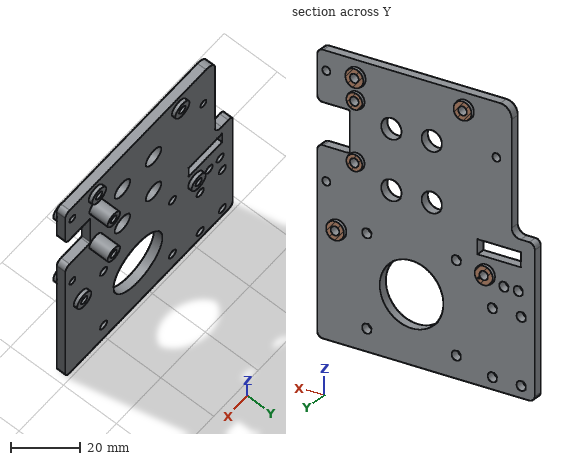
import cadquery as cq

plate_width = 75.4
plate_height = 94.0
plate_thickness = 3.3

step_x = 8.0
step_z = 51.6

notch_depth = 11.3
notch_height = 14.0
notch_center_z = 69.9

corner_radius = 2.0
top_left_radius = 4.0
step_inner_radius = 3.0
notch_inner_radius = 0.5

boss_diameter = 6.4
boss_height = 1.3
pillar_diameter = 5.6
pillar_length = 6.9

motor_x = 42.7
motor_z = 23.0
motor_bore_diameter = 22.0
motor_screw_pitch = 31.0
motor_screw_diameter = 3.2

access_x = 42.7
access_z = 65.0
access_pitch_x = 14.0
access_pitch_z = 20.0
access_diameter = 7.0

bracket_x = 9.7
bracket_z = 15.2
bracket_pitch_x = 10.0
bracket_pitch_z = 22.5
bracket_hole_diameter = 3.2

pair_center_x = 8.2
pair_pitch = 5.0
pair_z = 34.6
pair_hole_diameter = 3.2

slot_x = 12.3
slot_z = 45.0
slot_width = 15.0
slot_height = 4.9

front_boss_x = plate_width - boss_diameter / 2
front_boss_points = [(13.3, 75.95), (front_boss_x, 87.5), (front_boss_x, 51.5)]
front_boss_hole_diameter = 2.7

right_column_x = 61.8
upper_boss_z = 88.5
lower_boss_z = 36.9
back_boss_points = [
    (24.25, upper_boss_z),
    (right_column_x, upper_boss_z),
    (16.9, lower_boss_z),
    (68.4, lower_boss_z),
]
pillar_center_z = 71.0
pillar_pitch = 20.0
pillar_points = [
    (right_column_x, pillar_center_z + pillar_pitch / 2),
    (right_column_x, pillar_center_z - pillar_pitch / 2),
]
back_hole_diameter = 2.8


def rectangle_points(center_x, center_z, pitch_x, pitch_z):
    """Corners of a rectangle of holes."""
    return [
        (center_x + side_x * pitch_x / 2, center_z + side_z * pitch_z / 2)
        for side_x in (-1, 1)
        for side_z in (-1, 1)
    ]


def front_plane(y):
    """XZ workplane at depth y; positive extrusion goes toward -Y."""
    return cq.Workplane("XZ", origin=(0, y, 0))


def cylinders(points, diameter, y_front, y_back):
    """Round bars along Y between two depths."""
    return front_plane(y_back).pushPoints(points).circle(diameter / 2).extrude(y_back - y_front)


def round_edges(body, points, radius):
    """Fillet the edges along Y that pass through the given outline points."""
    for x, z in points:
        edge = cq.selectors.NearestToPointSelector((x, plate_thickness / 2, z))
        body = body.edges("|Y").edges(edge).fillet(radius)
    return body


def make_plate():
    notch_x = plate_width - notch_depth
    notch_bottom = notch_center_z - notch_height / 2
    notch_top = notch_center_z + notch_height / 2
    top_left = (step_x, plate_height)
    step_inner = (step_x, step_z)
    notch_inner = [(notch_x, notch_bottom), (notch_x, notch_top)]
    right_side = [
        (plate_width, 0),
        (plate_width, notch_bottom),
        *notch_inner,
        (plate_width, notch_top),
        (plate_width, plate_height),
    ]
    outline = [(0, 0), *right_side, top_left, step_inner, (0, step_z)]
    special = [top_left, step_inner, *notch_inner]
    plain_corners = [point for point in outline if point not in special]

    plate = front_plane(plate_thickness).polyline(outline).close().extrude(plate_thickness)
    plate = round_edges(plate, plain_corners, corner_radius)
    plate = round_edges(plate, [top_left], top_left_radius)
    plate = round_edges(plate, [step_inner], step_inner_radius)
    return round_edges(plate, notch_inner, notch_inner_radius)


def add_bosses_and_pillars(body):
    boss_back = plate_thickness + boss_height
    pillar_back = plate_thickness + pillar_length
    body = body.union(cylinders(front_boss_points, boss_diameter, -boss_height, plate_thickness / 2))
    body = body.union(cylinders(back_boss_points, boss_diameter, plate_thickness / 2, boss_back))
    return body.union(cylinders(pillar_points, pillar_diameter, plate_thickness / 2, pillar_back))


def cut_holes(body):
    y_front = -boss_height
    y_back = plate_thickness + pillar_length
    motor_screws = rectangle_points(motor_x, motor_z, motor_screw_pitch, motor_screw_pitch)
    access_holes = rectangle_points(access_x, access_z, access_pitch_x, access_pitch_z)
    bracket_holes = rectangle_points(bracket_x, bracket_z, bracket_pitch_x, bracket_pitch_z)
    pair_holes = [(pair_center_x + side * pair_pitch / 2, pair_z) for side in (-1, 1)]
    hole_groups = [
        ([(motor_x, motor_z)], motor_bore_diameter),
        (motor_screws, motor_screw_diameter),
        (access_holes, access_diameter),
        (bracket_holes, bracket_hole_diameter),
        (pair_holes, pair_hole_diameter),
        (front_boss_points, front_boss_hole_diameter),
        (back_boss_points + pillar_points, back_hole_diameter),
    ]
    for points, diameter in hole_groups:
        body = body.cut(cylinders(points, diameter, y_front, y_back))
    return body


def cut_slot(body):
    slot = front_plane(plate_thickness).center(slot_x, slot_z).rect(slot_width, slot_height)
    return body.cut(slot.extrude(plate_thickness))


result = cut_slot(cut_holes(add_bosses_and_pillars(make_plate())))